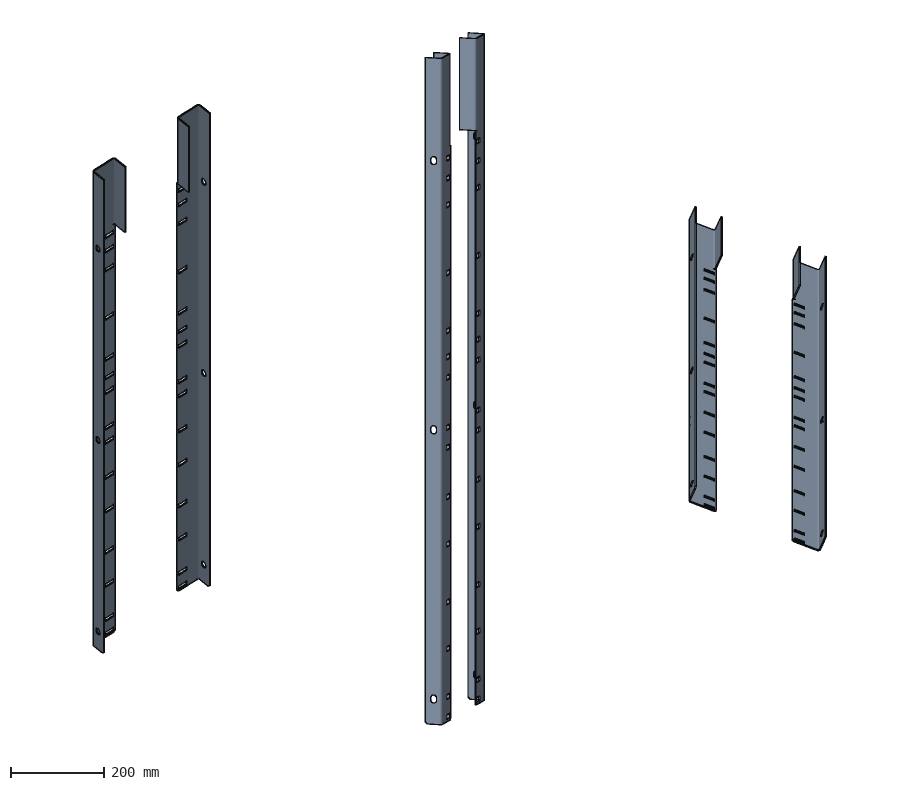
import cadquery as cq

length = 1454.0
depth = 38.0
overall_width = 305.0
channel_gap = 179.0

web_width = (overall_width - channel_gap) / 2
sheet = 3.0
outer_bend_radius = 6.0
inner_bend_radius = outer_bend_radius - sheet
web_overhang = 0.7
inner_flange_length = 200.0
corner_cut = 5.0

flange_hole_x = 19.0
flange_hole_width = 13.0
flange_hole_height = 17.0
lowest_flange_hole = 55.0
flange_hole_pitch = 587.0
flange_hole_count = 3

slot_edge_gap = 3.6
slot_length = 23.0
slot_height = 10.0
slot_levels = [10.0, 54.0, 159.0, 260.0, 387.0, 490.0, 598.0, 641.0, 750.0, 795.0, 852.0, 979.0, 1127.0, 1185.0, 1229.0]

outer_face = -overall_width / 2
inner_edge = outer_face + web_width
inner_flange_bottom = length - inner_flange_length
slot_center_y = inner_edge - slot_edge_gap - slot_length / 2
cutter_depth = 2 * outer_bend_radius


def rounded_bar(width, bar_depth, bend_radius):
    """Full-length bar with both corners of its -X face rounded."""
    bar = cq.Workplane("XY").box(bar_depth, width, length, centered=False)
    return bar.edges("|Z and <X").fillet(bend_radius)


def folded_section():
    """U section with two flanges that run the full length."""
    outside = rounded_bar(web_width, depth, outer_bend_radius)
    inside = rounded_bar(web_width - 2 * sheet, depth, inner_bend_radius)
    return outside.cut(inside.translate((sheet, sheet, 0))).translate((0, outer_face, 0))


def inner_strip(strip_depth):
    """Strip along the inner edge, below the inner flange."""
    strip_width = outer_bend_radius + web_overhang
    strip = cq.Workplane("XY").box(strip_depth, strip_width, inner_flange_bottom, centered=False)
    return strip.translate((0, inner_edge - outer_bend_radius, 0))


def flange_holes():
    """Upright holes with round ends through the outer flange."""
    centers = [
        (flange_hole_x, lowest_flange_hole + i * flange_hole_pitch) for i in range(flange_hole_count)
    ]
    holes = cq.Workplane("XZ", origin=(0, outer_face, 0)).pushPoints(centers)
    return holes.slot2D(flange_hole_height, flange_hole_width, 90).extrude(cutter_depth, both=True)


def web_slots():
    """Row of rectangular slots through the web."""
    slots = cq.Workplane("YZ").pushPoints([(slot_center_y, z) for z in slot_levels])
    return slots.rect(slot_length, slot_height).extrude(cutter_depth, both=True)


def make_channel():
    """Channel on the -Y side, with its web facing -X."""
    channel = folded_section()
    channel = channel.cut(inner_strip(depth)).union(inner_strip(sheet))
    channel = channel.edges("|X and <Z and >Y").chamfer(corner_cut)
    channel = channel.edges("|Y and <Z and >X").chamfer(corner_cut)
    channel = channel.cut(flange_holes())
    return channel.cut(web_slots())


near_channel = make_channel()
far_channel = near_channel.mirror("XZ")

result = cq.Compound.makeCompound([near_channel.val(), far_channel.val()])